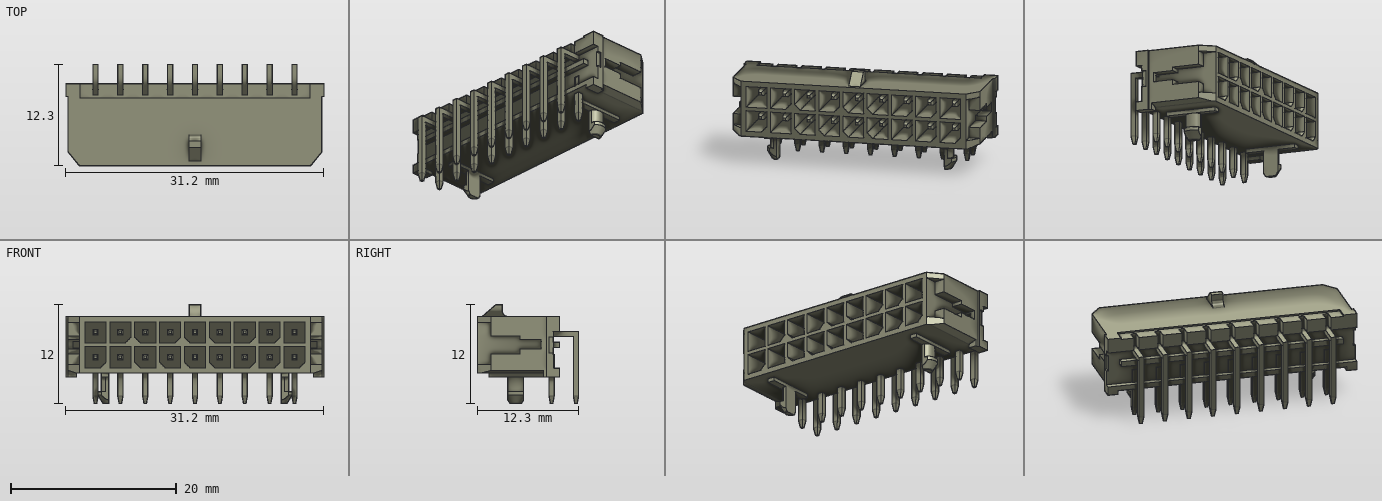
import cadquery as cq


COLUMNS = 9
ROW_SPAN = 24.02
PITCH = ROW_SPAN / (COLUMNS - 1)
LOWER_ROW_Z = 2.4
UPPER_ROW_Z = LOWER_ROW_Z + PITCH
PIN = 0.65
PIN_POINT = 0.3
PIN_FRONT_Y = 1.87
FRONT_TAPER = 0.62
SHANK_END_Y = 8.57
TAIL_END_Z = -3.2
TAIL_TAPER = 0.95
LOWER_LEG_Y = 8.97
OVERALL_DEPTH = 12.25
UPPER_LEG_Y = OVERALL_DEPTH - PIN / 2
UPPER_BEND_Z = 5.2

CAVITY = 2.55
CAVITY_DEPTH = 7.48
KEY_CUT = 0.7
UPPER_KEYS = ("none", "right", "left", "right", "left", "left", "right", "right", "none")
LOWER_KEYS = ("right", "none", "left", "left", "left", "left", "right", "right", "right")

FLANGE_HALF = 15.58
BODY_HALF = 15.33
BODY_BOTTOM = 0.47
BODY_TOP = 7.32
FLANGE_FRONT_Y = 8.35
FLANGE_WALL_Y = 9.2
REAR_Y = 9.95
LEDGE_BOTTOM = UPPER_BEND_Z + PIN / 2
SHELF_TOP = 1.1
FRONT_FACE_HALF = 13.95
CORNER_LENGTH = 1.68
EDGE_CHAMFER_X = 1.05
EDGE_CHAMFER_Z = 0.35
FOOT_INNER = 14.3
FOOT_FRONT_Y = 7.97

COMB_HALF = 13.9
COMB_FRONT_Y = 8.15
COMB_DROP = 0.2
BAR_Z = 3.9
BAR_HEIGHT = 0.65
NOTCH_FRONT_Y = 8.63
NOTCH_BOTTOM = 2.9
NOTCH_TOP = 4.85

END_RECESS_STEPS = ((1.68, 1.5, 6.6), (5.15, 2.8, 4.95), (7.7, 3.4, 4.52))
SLIT_OUTER = 14.7
SLIT_BOTTOM = 3.5
SLIT_TOP = 4.3
SLIT_DEPTH = 0.62

LATCH_HALF = 0.72
LATCH_TOP = 8.75
LATCH_FRONT_Y = 0.6
LATCH_CREST_Y = 2.25
LATCH_BACK_Y = 3.02
LATCH_ROOT_RADIUS = 0.7

RAIL_INNER = 10.4
RAIL_WIDTH = 0.95
RAIL_FRONT_Y = 1.4
PEG_Y = 4.65
PEG_HALF_WIDTH = 0.97
PEG_SPINE = 0.37
BARB_TOP = -1.75
BARB_CONE_TOP = -2.18
BARB_RADIUS = 1.3
BARB_END_RADIUS = 0.75
BARB_TIP_BEVEL = 0.1


def block(x0, x1, y0, y1, z0, z1):
    """Box between opposite corners."""
    return cq.Workplane("XY").box(x1 - x0, y1 - y0, z1 - z0, centered=False).translate((x0, y0, z0))


def both_ends(shape):
    """Shape built at the -X end together with its mirror image."""
    return shape.union(shape.mirror("YZ"))


def column_x(column):
    """Position along X of a contact column."""
    return (column - (COLUMNS - 1) / 2) * PITCH


def make_body():
    """Main block with bevelled front corners and lower side edges."""
    plan = [
        (-FRONT_FACE_HALF, 0),
        (FRONT_FACE_HALF, 0),
        (BODY_HALF, CORNER_LENGTH),
        (BODY_HALF, FLANGE_WALL_Y),
        (-BODY_HALF, FLANGE_WALL_Y),
        (-BODY_HALF, CORNER_LENGTH),
    ]
    body = cq.Workplane("XY").workplane(offset=BODY_BOTTOM).polyline(plan).close()
    body = body.extrude(BODY_TOP - BODY_BOTTOM)
    bevel = (
        cq.Workplane("XZ")
        .polyline([
            (-BODY_HALF, BODY_BOTTOM),
            (-BODY_HALF + EDGE_CHAMFER_X, BODY_BOTTOM),
            (-BODY_HALF, BODY_BOTTOM + EDGE_CHAMFER_Z),
        ])
        .close()
        .extrude(-FLANGE_FRONT_Y)
    )
    return body.cut(both_ends(bevel))


def make_flange():
    """Rear flange with a top ledge, a bottom shelf, feet and a cross bar."""
    flange = block(-FLANGE_HALF, FLANGE_HALF, FLANGE_FRONT_Y, REAR_Y, BODY_BOTTOM, BODY_TOP)
    foot = block(-FLANGE_HALF, -FOOT_INNER, FLANGE_FRONT_Y, REAR_Y, 0, SHELF_TOP)
    foot_toe = block(-BODY_HALF, -FOOT_INNER, FOOT_FRONT_Y, FLANGE_FRONT_Y, 0, SHELF_TOP)
    flange = flange.union(both_ends(foot.union(foot_toe)))
    flange = flange.cut(block(-FLANGE_HALF, FLANGE_HALF, FLANGE_WALL_Y, REAR_Y, SHELF_TOP, LEDGE_BOTTOM))
    notch = block(-FLANGE_HALF, -BODY_HALF, NOTCH_FRONT_Y, REAR_Y, NOTCH_BOTTOM, NOTCH_TOP)
    flange = flange.cut(both_ends(notch))
    bar_bottom = BAR_Z - BAR_HEIGHT / 2
    bar = block(-COMB_HALF, COMB_HALF, FLANGE_WALL_Y, REAR_Y, bar_bottom, bar_bottom + BAR_HEIGHT)
    return flange.union(bar)


def make_comb_cut():
    """Lowered top of the rear ledge and the slot above each upper tail."""
    cut = block(-COMB_HALF, COMB_HALF, COMB_FRONT_Y, REAR_Y, BODY_TOP - COMB_DROP, BODY_TOP)
    for column in range(COLUMNS):
        x = column_x(column)
        cut = cut.union(block(x - PIN / 2, x + PIN / 2, SHANK_END_Y, REAR_Y, UPPER_BEND_Z, BODY_TOP))
    return cut


def make_end_recesses():
    """Stepped recesses that narrow towards the flange, with a slit at the end."""
    slit_end_y = END_RECESS_STEPS[-1][0] + SLIT_DEPTH
    recess = block(-SLIT_OUTER, -FRONT_FACE_HALF, 0, slit_end_y, SLIT_BOTTOM, SLIT_TOP)
    for rear_y, bottom, top in END_RECESS_STEPS:
        recess = recess.union(block(-FLANGE_HALF, -FRONT_FACE_HALF, 0, rear_y, bottom, top))
    return both_ends(recess)


def make_cavity(x, z, key):
    """Square contact cavity, with one bottom corner cut off when keyed."""
    cavity = cq.Workplane("XZ").rect(CAVITY, CAVITY).extrude(-CAVITY_DEPTH)
    if key == "right":
        cavity = cavity.edges("|Y and >X and <Z").chamfer(KEY_CUT)
    elif key == "left":
        cavity = cavity.edges("|Y and <X and <Z").chamfer(KEY_CUT)
    return cavity.translate((x, 0, z))


def make_latch():
    """Ramp for the mating latch, with a concave root at its back."""
    return (
        cq.Workplane("YZ")
        .moveTo(LATCH_FRONT_Y, BODY_TOP)
        .lineTo(LATCH_CREST_Y, LATCH_TOP)
        .lineTo(LATCH_BACK_Y, LATCH_TOP)
        .lineTo(LATCH_BACK_Y, BODY_TOP + LATCH_ROOT_RADIUS)
        .radiusArc((LATCH_BACK_Y + LATCH_ROOT_RADIUS, BODY_TOP), -LATCH_ROOT_RADIUS)
        .close()
        .extrude(LATCH_HALF, both=True)
    )


def make_pegs():
    """Board rails and half-round snap pegs with conical barbs."""
    rail_outer = RAIL_INNER + RAIL_WIDTH
    rail = block(-rail_outer, -RAIL_INNER, RAIL_FRONT_Y, FOOT_FRONT_Y, 0, BODY_BOTTOM)
    spine_x = -RAIL_INNER - PEG_SPINE
    shaft = (
        cq.Workplane("XY")
        .moveTo(-RAIL_INNER, PEG_Y - PEG_HALF_WIDTH)
        .lineTo(spine_x, PEG_Y - PEG_HALF_WIDTH)
        .threePointArc((-rail_outer, PEG_Y), (spine_x, PEG_Y + PEG_HALF_WIDTH))
        .lineTo(-RAIL_INNER, PEG_Y + PEG_HALF_WIDTH)
        .close()
        .extrude(BARB_TOP)
    )
    barb = (
        cq.Workplane("XZ")
        .polyline([
            (0, BARB_TOP),
            (-BARB_RADIUS, BARB_TOP),
            (-BARB_RADIUS, BARB_CONE_TOP),
            (-BARB_END_RADIUS, TAIL_END_Z + BARB_TIP_BEVEL),
            (BARB_TIP_BEVEL - BARB_END_RADIUS, TAIL_END_Z),
            (0, TAIL_END_Z),
        ])
        .close()
        .revolve(360, (0, 0, 0), (0, 1, 0))
        .translate((-RAIL_INNER, PEG_Y, 0))
    )
    barb = barb.intersect(
        block(
            -RAIL_INNER - BARB_RADIUS, -RAIL_INNER,
            PEG_Y - PEG_HALF_WIDTH, PEG_Y + PEG_HALF_WIDTH,
            TAIL_END_Z, BARB_TOP,
        )
    )
    return both_ends(rail.union(shaft).union(barb))


def make_pin(row_z, bend_z, leg_y):
    """Contact with a pointed front and a pointed tail bent down to the board."""
    half = PIN / 2
    shank_y = PIN_FRONT_Y + FRONT_TAPER
    tip = (
        cq.Workplane("XZ", origin=(0, PIN_FRONT_Y, row_z))
        .rect(PIN_POINT, PIN_POINT)
        .workplane(offset=-FRONT_TAPER)
        .rect(PIN, PIN)
        .loft()
    )
    shank = block(-half, half, shank_y, SHANK_END_Y, row_z - half, row_z + half)
    run = block(-half, half, CAVITY_DEPTH, leg_y + half, bend_z - half, bend_z + half)
    leg_bottom = TAIL_END_Z + TAIL_TAPER
    leg = block(-half, half, leg_y - half, leg_y + half, leg_bottom, bend_z + half)
    tail = (
        cq.Workplane("XY", origin=(0, leg_y, TAIL_END_Z))
        .rect(PIN_POINT, PIN_POINT)
        .workplane(offset=TAIL_TAPER)
        .rect(PIN, PIN)
        .loft()
    )
    return tip.union(shank).union(run).union(leg).union(tail)


result = make_body().union(make_flange()).cut(make_comb_cut()).cut(make_end_recesses())
result = result.union(make_latch()).union(make_pegs())

upper_pin = make_pin(UPPER_ROW_Z, UPPER_BEND_Z, UPPER_LEG_Y)
lower_pin = make_pin(LOWER_ROW_Z, LOWER_ROW_Z, LOWER_LEG_Y)
for column in range(COLUMNS):
    x = column_x(column)
    result = result.cut(make_cavity(x, UPPER_ROW_Z, UPPER_KEYS[column]))
    result = result.cut(make_cavity(x, LOWER_ROW_Z, LOWER_KEYS[column]))
    result = result.union(upper_pin.translate((x, 0, 0))).union(lower_pin.translate((x, 0, 0)))